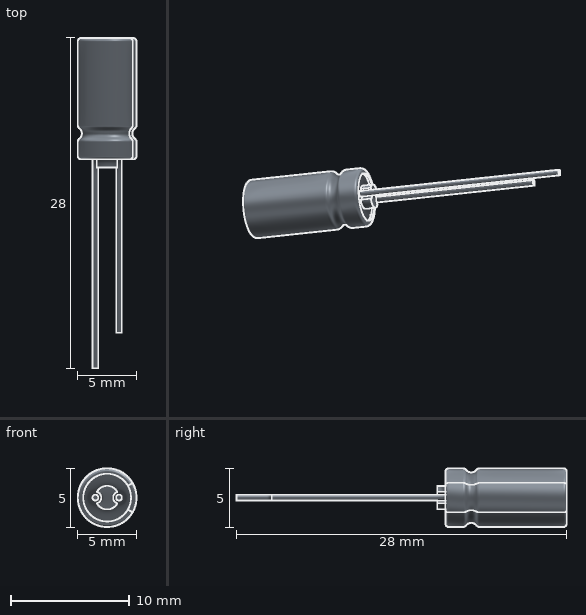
import cadquery as cq
import math

can_diameter = 5.0
can_top = 11.0
edge_radius = 0.3
stripe_angle = 60.0

groove_offset = 2.2
groove_depth = 0.35
groove_root_radius = 0.55
groove_shoulder_radius = 0.35

plug_diameter = 4.05
plug_inset = 0.2
plug_thickness = 0.5
spacer_diameter = 2.0
spacer_drop = 0.7
lead_relief_diameter = 1.0

lead_pitch = 2.0
lead_diameter = 0.5
long_lead_length = 17.0
short_lead_length = 14.0
leads = [
    (-lead_pitch / 2, long_lead_length),
    (lead_pitch / 2, short_lead_length),
]

can_radius = can_diameter / 2
can_bottom = spacer_drop
groove_middle = can_bottom + groove_offset
plug_bottom = can_bottom + plug_inset
plug_top = plug_bottom + plug_thickness


def arc_point(center, radius, angle):
    """Point on a circle, with the angle in radians from +X."""
    return (center[0] + radius * math.cos(angle), center[1] + radius * math.sin(angle))


def can_profile():
    """Half section of the can: radius along X, height along Y."""
    root_center = (can_radius - groove_depth + groove_root_radius, groove_middle)
    shoulder_x = can_radius - groove_shoulder_radius
    center_distance = groove_root_radius + groove_shoulder_radius
    tilt = math.acos((root_center[0] - shoulder_x) / center_distance)
    shoulder_spacing = center_distance * math.sin(tilt)
    lower_shoulder = (shoulder_x, groove_middle - shoulder_spacing)
    upper_shoulder = (shoulder_x, groove_middle + shoulder_spacing)

    edge_x = can_radius - edge_radius
    lower_edge = (edge_x, can_bottom + edge_radius)
    upper_edge = (edge_x, can_top - edge_radius)

    return (
        cq.Workplane("XY")
        .moveTo(0, plug_top)
        .lineTo(plug_diameter / 2, plug_top)
        .lineTo(plug_diameter / 2, can_bottom)
        .lineTo(edge_x, can_bottom)
        .threePointArc(arc_point(lower_edge, edge_radius, -math.pi / 4), (can_radius, lower_edge[1]))
        .lineTo(can_radius, lower_shoulder[1])
        .threePointArc(
            arc_point(lower_shoulder, groove_shoulder_radius, tilt / 2),
            arc_point(lower_shoulder, groove_shoulder_radius, tilt),
        )
        .threePointArc(
            (can_radius - groove_depth, groove_middle),
            arc_point(upper_shoulder, groove_shoulder_radius, -tilt),
        )
        .threePointArc(
            arc_point(upper_shoulder, groove_shoulder_radius, -tilt / 2),
            (can_radius, upper_shoulder[1]),
        )
        .lineTo(can_radius, upper_edge[1])
        .threePointArc(arc_point(upper_edge, edge_radius, math.pi / 4), (edge_x, can_top))
        .lineTo(0, can_top)
        .close()
    )


def can_sector(start_angle, sweep):
    """Sector of the can, turned about Y from +X by the start angle."""
    sector = can_profile().revolve(sweep, (0, 0), (0, 1))
    return sector.rotate((0, 0, 0), (0, 1, 0), start_angle)


def cylinder(x, diameter, bottom, top):
    """Cylinder parallel to Y at the given X, between two heights."""
    return cq.Workplane("XZ", origin=(x, bottom, 0)).circle(diameter / 2).extrude(bottom - top)


def make_lead(x, length):
    """Straight lead through the plug; its length counts from the spacer foot."""
    return cylinder(x, lead_diameter, -length, plug_top)


def make_plug():
    """Plug disc and spacer foot, relieved around the leads and bored for them."""
    plug = cylinder(0, spacer_diameter, 0, plug_bottom)
    for x, _ in leads:
        plug = plug.cut(cylinder(x, lead_relief_diameter, 0, plug_bottom))
    plug = plug.union(cylinder(0, plug_diameter, plug_bottom, plug_top))
    for x, _ in leads:
        plug = plug.cut(cylinder(x, lead_diameter, plug_bottom, plug_top))
    return plug


stripe = can_sector(-stripe_angle / 2, stripe_angle)
can = can_sector(stripe_angle / 2, 360 - stripe_angle)
plug = make_plug()
lead_solids = [make_lead(x, length).val() for x, length in leads]

result = cq.Compound.makeCompound([can.val(), stripe.val(), plug.val(), *lead_solids])